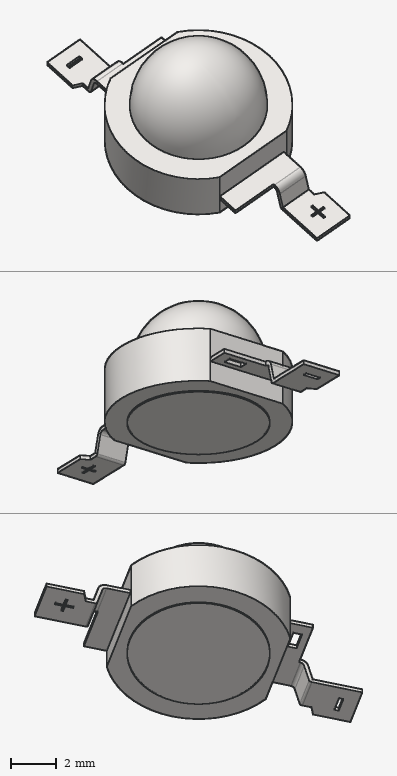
import cadquery as cq
import math

BODY_RADIUS = 4.088
FLAT_X = 3.6
BODY_BOTTOM = 0.1
BODY_TOP = 2.64
LENS_RADIUS = 3.0
BASE_RADIUS = 3.1
BASE_BOTTOM = 0.05

LEAD_END_X = 7.5
SHEET = 0.2
LEAD_TOP = 1.26
TAB_END_X = 4.64
TAB_OUTER_Y = -1.92
STRIP_INNER_Y = 0.28
STRIP_OUTER_Y = 1.78
FOOT_OUTER_Y = 2.19
TAPER_START_X = 5.61
TAPER_END_X = 5.8
BEND_START_X = 4.68
BEND_RADIUS = 0.38
HEEL_RADIUS = 0.12
LEG_TILT = math.radians(15)

MARK_Y = 1.282
PLUS_X = 6.44
PLUS_LENGTH = 0.82
PLUS_HEIGHT = 0.69
PLUS_STROKE = 0.09
MINUS_X = 6.72
MINUS_WIDTH = 0.2
MINUS_LENGTH = 0.74
WINDOW_X = 4.1
WINDOW_Y = -0.95
WINDOW_WIDTH = 0.39
WINDOW_LENGTH = 0.87


def make_housing():
    """Body with flats on both X sides, carrying the lens and the base disc."""
    body_height = BODY_TOP - BODY_BOTTOM
    body = cq.Workplane("XY").workplane(offset=BODY_BOTTOM).circle(BODY_RADIUS).extrude(body_height)
    between_flats = cq.Workplane("XY").box(2 * FLAT_X, 2 * BODY_RADIUS, 2 * BODY_TOP)
    base = cq.Workplane("XY").workplane(offset=BASE_BOTTOM).circle(BASE_RADIUS).extrude(body_height)
    lens = (
        cq.Workplane("XZ")
        .moveTo(0, BODY_TOP)
        .lineTo(LENS_RADIUS, BODY_TOP)
        .radiusArc((0, BODY_TOP + LENS_RADIUS), -LENS_RADIUS)
        .close()
        .revolve(360, (0, 0, 0), (0, 1, 0))
    )
    return body.intersect(between_flats).union(base).union(lens)


def make_bent_sheet():
    """Sheet bent in the XZ plane from the housing flat down to the foot, full lead width."""
    bend_center_z = LEAD_TOP - BEND_RADIUS
    inner_radius = BEND_RADIUS - SHEET

    def on_bend(radius, angle):
        return (BEND_START_X + radius * math.cos(angle), bend_center_z + radius * math.sin(angle))

    def on_leg(radius, z):
        x, start_z = on_bend(radius, LEG_TILT)
        return (x + (start_z - z) * math.tan(LEG_TILT), z)

    middle = (LEG_TILT + math.pi / 2) / 2
    heel = on_leg(inner_radius, 0)
    profile = (
        cq.Workplane("XZ", origin=(0, FOOT_OUTER_Y, 0))
        .moveTo(FLAT_X, LEAD_TOP)
        .lineTo(BEND_START_X, LEAD_TOP)
        .threePointArc(on_bend(BEND_RADIUS, middle), on_bend(BEND_RADIUS, LEG_TILT))
        .lineTo(*on_leg(BEND_RADIUS, SHEET))
        .lineTo(LEAD_END_X, SHEET)
        .lineTo(LEAD_END_X, 0)
        .lineTo(*heel)
        .lineTo(*on_bend(inner_radius, LEG_TILT))
        .threePointArc(on_bend(inner_radius, middle), on_bend(inner_radius, math.pi / 2))
        .lineTo(FLAT_X, LEAD_TOP - SHEET)
        .close()
    )
    sheet = profile.extrude(FOOT_OUTER_Y - TAB_OUTER_Y)
    heel_edge = cq.selectors.NearestToPointSelector((heel[0], (FOOT_OUTER_Y + TAB_OUTER_Y) / 2, 0))
    return sheet.edges(heel_edge).fillet(HEEL_RADIUS)


def make_lead_blank():
    """The +X lead without openings: bent sheet trimmed to its plan outline."""
    outline = [
        (FLAT_X, TAB_OUTER_Y),
        (TAB_END_X, TAB_OUTER_Y),
        (TAB_END_X, STRIP_INNER_Y),
        (LEAD_END_X, STRIP_INNER_Y),
        (LEAD_END_X, FOOT_OUTER_Y),
        (TAPER_END_X, FOOT_OUTER_Y),
        (TAPER_START_X, STRIP_OUTER_Y),
        (FLAT_X, STRIP_OUTER_Y),
    ]
    plan = cq.Workplane("XY").polyline(outline).close().extrude(LEAD_TOP)
    return make_bent_sheet().intersect(plan)


def opening(x, y, width, length):
    """Rectangular cutter through the full height of a lead."""
    return cq.Workplane("XY").center(x, y).rect(width, length).extrude(LEAD_TOP)


def make_positive_lead():
    """The +X lead, with a plus-shaped opening in the foot."""
    lead = make_lead_blank()
    lead = lead.cut(opening(PLUS_X, MARK_Y, PLUS_LENGTH, PLUS_STROKE))
    return lead.cut(opening(PLUS_X, MARK_Y, PLUS_STROKE, PLUS_HEIGHT))


def make_negative_lead():
    """The -X lead: the blank with a slot and a window, turned half way round Z."""
    lead = make_lead_blank()
    lead = lead.cut(opening(MINUS_X, MARK_Y, MINUS_WIDTH, MINUS_LENGTH))
    lead = lead.cut(opening(WINDOW_X, WINDOW_Y, WINDOW_WIDTH, WINDOW_LENGTH))
    return lead.rotate((0, 0, 0), (0, 0, 1), 180)


housing = make_housing()
positive_lead = make_positive_lead()
negative_lead = make_negative_lead()

result = cq.Compound.makeCompound(
    [housing.solids().val(), positive_lead.solids().val(), negative_lead.solids().val()]
)